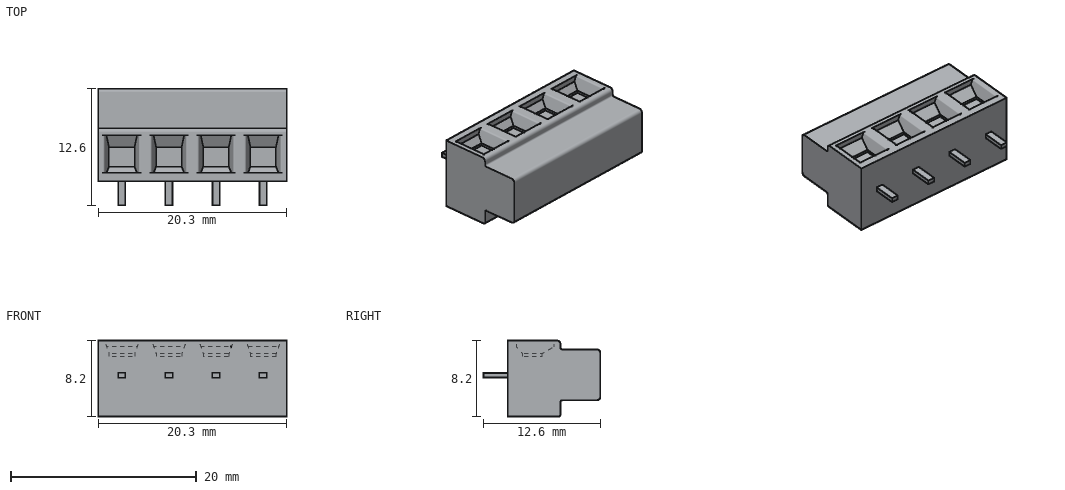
import cadquery as cq

pole_count = 4
pitch = 5.08
length = pole_count * pitch

base_depth = 5.7
base_height = 8.2
total_depth = 10.0
nose_bottom = 1.75
nose_top = 7.25
outer_radius = 0.4
inner_radius = 0.2
bottom_edge_radius = 0.2

pin_width = 0.8
pin_thickness = 0.5
pin_length = 2.6
pin_center_z = 4.45

funnel_width = 3.77
funnel_front = 0.91
funnel_back = 4.98
rim_radius = 0.2
throat_width = 2.75
throat_front = 1.59
throat_back = 3.69
slope_start_depth = 0.65
slope_end_depth = 1.4
throat_depth = 1.69

select_margin = 0.01


def yz_prism(points, prism_length, start_x=0.0):
    """Extrude a closed (Y, Z) polygon along +X."""
    return cq.Workplane("YZ").workplane(offset=start_x).polyline(points).close().extrude(prism_length)


def edge_at(y, z):
    """Select the lengthwise edge of the housing that passes through (y, z)."""
    return cq.selectors.BoxSelector(
        (0, y - select_margin, z - select_margin),
        (length, y + select_margin, z + select_margin),
    )


def make_housing():
    outline = [
        (0, 0),
        (base_depth, 0),
        (base_depth, nose_bottom),
        (total_depth, nose_bottom),
        (total_depth, nose_top),
        (base_depth, nose_top),
        (base_depth, base_height),
        (0, base_height),
    ]
    housing = yz_prism(outline, length)
    rounded_edges = [
        (base_depth, 0, bottom_edge_radius),
        (base_depth, nose_bottom, inner_radius),
        (total_depth, nose_bottom, outer_radius),
        (total_depth, nose_top, outer_radius),
        (base_depth, nose_top, inner_radius),
        (base_depth, base_height, outer_radius),
    ]
    for y, z, radius in rounded_edges:
        housing = housing.edges(edge_at(y, z)).fillet(radius)
    return housing


def make_funnel(center_x):
    """Wire entry: the X and Y walls taper separately, so intersect one prism for each."""
    slope_start_z = base_height - slope_start_depth
    slope_end_z = base_height - slope_end_depth
    floor_z = base_height - throat_depth

    y_walls = [
        (funnel_front, base_height),
        (funnel_front, slope_start_z),
        (throat_front, slope_end_z),
        (throat_front, floor_z),
        (throat_back, floor_z),
        (throat_back, slope_end_z),
        (funnel_back, slope_start_z),
        (funnel_back, base_height),
    ]
    half_mouth = funnel_width / 2
    half_throat = throat_width / 2
    x_walls = [
        (center_x - half_mouth, base_height),
        (center_x - half_throat, slope_end_z),
        (center_x - half_throat, floor_z),
        (center_x + half_throat, floor_z),
        (center_x + half_throat, slope_end_z),
        (center_x + half_mouth, base_height),
    ]
    x_profile = cq.Workplane("XZ").polyline(x_walls).close().extrude(-total_depth)
    y_profile = yz_prism(y_walls, funnel_width, center_x - half_mouth)
    return x_profile.intersect(y_profile)


def round_rim(housing, center_x):
    for side in (-1, 1):
        rim_x = center_x + side * funnel_width / 2
        rim_edge = cq.selectors.BoxSelector(
            (rim_x - select_margin, funnel_front, base_height - select_margin),
            (rim_x + select_margin, funnel_back, base_height + select_margin),
        )
        housing = housing.edges(rim_edge).fillet(rim_radius)
    return housing


def make_pin(center_x):
    return (
        cq.Workplane("XZ")
        .center(center_x, pin_center_z)
        .rect(pin_width, pin_thickness)
        .extrude(pin_length)
    )


result = make_housing()
for pole in range(pole_count):
    pole_x = (pole + 0.5) * pitch
    result = result.cut(make_funnel(pole_x))
    result = round_rim(result, pole_x)
    result = result.union(make_pin(pole_x))